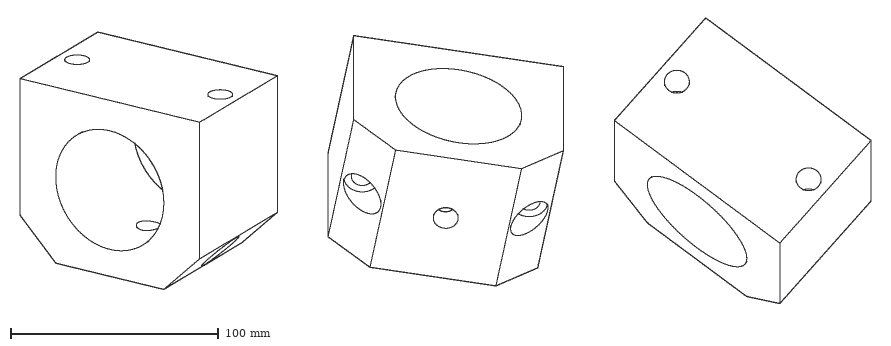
import cadquery as cq

width = 103.0
depth = 70.0
height = 92.0
corner_chamfer = 20.6

bore_diameter = 62.0
bore_height = 45.1

mount_spacing = 82.0
mount_diameter = 10.5
mount_top_diameter = 12.0
mount_top_depth = 24.7
head_diameter = 18.0
head_seat_height = 24.7

base_hole_diameter = 12.0


def vertical_cylinder(x, diameter, bottom, top):
    """Cylinder along Z on the Y = 0 plane."""
    return cq.Workplane("XY", origin=(x, 0, bottom)).circle(diameter / 2).extrude(top - bottom)


result = (
    cq.Workplane("XY")
    .box(width, depth, height, centered=(True, True, False))
    .faces("<Z")
    .edges("|Y")
    .chamfer(corner_chamfer)
)

bore = (
    cq.Workplane("XZ", origin=(0, 0, bore_height))
    .circle(bore_diameter / 2)
    .extrude(depth / 2, both=True)
)
result = result.cut(bore)

for side in (-1, 1):
    x = side * mount_spacing / 2
    result = result.cut(vertical_cylinder(x, mount_diameter, 0, height))
    result = result.cut(vertical_cylinder(x, mount_top_diameter, height - mount_top_depth, height))
    result = result.cut(vertical_cylinder(x, head_diameter, 0, head_seat_height))

result = result.cut(vertical_cylinder(0, base_hole_diameter, 0, bore_height))